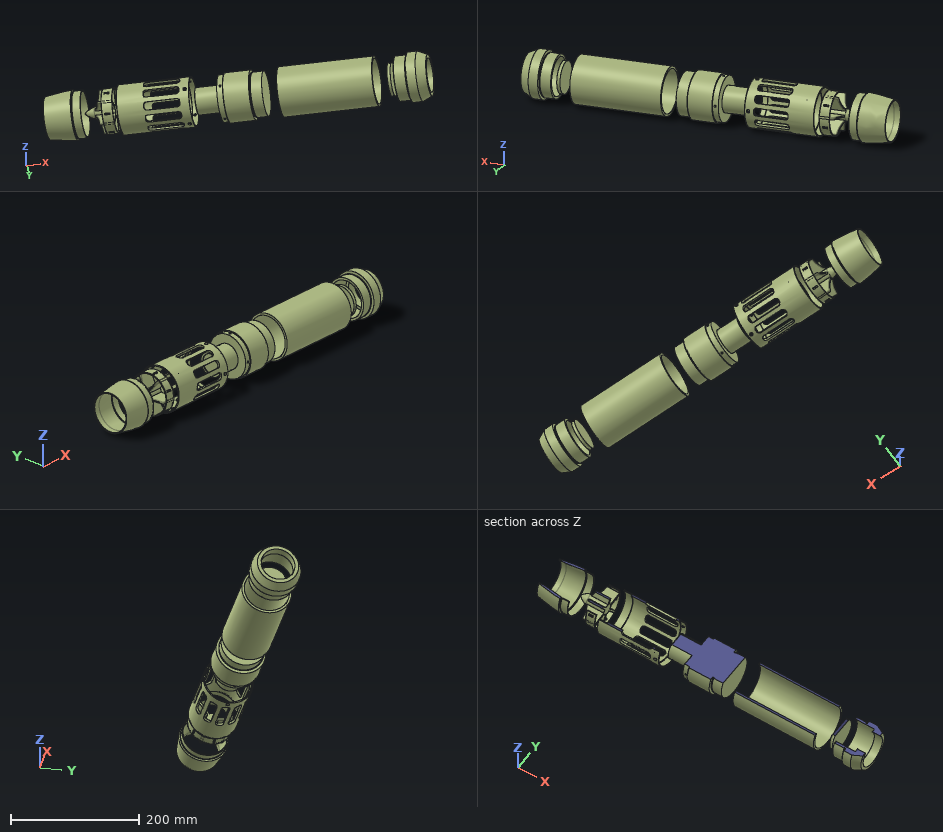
import cadquery as cq
OUTER_DIAMETER = 80.0
OUTER_R = OUTER_DIAMETER / 2
SPIGOT_R = 38.0
PLUG_R = 36.0

RELIEF_WIDTH = 2.0
RELIEF_DEPTH = 1.0

NOSE_MOUTH_R = 34.0
NOSE_MOUTH_BORE_R = 32.0
NOSE_MID_X = 22.0
NOSE_MID_R = 38.0
NOSE_LIP_X = 10.5
NOSE_SHOULDER_X = 44.5
NOSE_END_X = 59.5

STATOR_TIP_X = NOSE_END_X
HUB_R = 10.0
HUB_SHOULDER_X = 76.0
HUB_BULGE_X = 67.5
HUB_BULGE_R = 7.0
RING_START_X = 92.5
RING_END_X = 109.5
RING_BORE_R = 34.0
VANE_COUNT = 6
VANE_THICKNESS = 3.5
VANE_EDGE_R = 1.0
VANE_ANGLE = -6.0
VANE_ROOT_X = 77.5
VANE_SWEEP_X = 81.5
VANE_SWEEP_R = 17.5
VANE_TIP_X = 85.0
VANE_CORNER_R = 2.5
RING_SLOT_ANGLE = 21.5
TOP_ANGLE = 90.0
RING_SLOT_START_X = 97.0
RING_SLOT_LENGTH = 8.0
RING_SLOT_WIDTH = 2.5

INTAKE_START_X = 117.5
INTAKE_LENGTH = 115.0
WINDOW_COUNT = 12
WINDOW_START_X = 160.0
WINDOW_LENGTH = 57.0
WINDOW_WIDTH = 13.0
WINDOW_CORNER_R = 5.0

SCREW_COUNT = 4
SCREW_HOLE_X = 226.5
SCREW_HEAD_R = 2.75
SCREW_OVERCUT = 0.5

MOTOR_START_X = 239.0
STUB_R = 22.0
STUB_RECESS_R = 17.5
STUB_RECESS_DEPTH = 1.0
MOTOR_SPIGOT_X = 277.0
MOTOR_BODY_X = 287.0
MOTOR_PLUG_X = 328.5
MOTOR_END_X = 348.5
PILOT_HOLE_X = 282.5
PILOT_HOLE_R = 1.5
PILOT_HOLE_DEPTH = 6.0

BATTERY_START_X = 373.0
BATTERY_LENGTH = 151.5

DISC_START_X = 546.0
DISC_THICKNESS = 5.5
DISC_R = 27.0
DISC_GROOVE_DEPTH = 1.0

CAP_START_X = 558.0
CAP_COLLAR_X = 578.0
CAP_TAPER_X = 594.0
CAP_END_X = 609.0
CAP_END_R = 33.0
CAP_BORE_R = 31.5
CAP_OUTLET_R = 27.0


def revolve(outline):
    """Spin an outline of (x, radius) points about the X axis."""
    return outline.close().revolve(360, (0, 0, 0), (1, 0, 0))


def cylinder(start_x, end_x, radius):
    return cq.Workplane("YZ", origin=(start_x, 0, 0)).circle(radius).extrude(end_x - start_x)


def around_axis(shape, count, first_angle=0.0):
    """Copies of a shape spaced evenly about the X axis."""
    step = 360 / count
    return [shape.rotate((0, 0, 0), (1, 0, 0), first_angle + i * step) for i in range(count)]


def cut_all(body, tools):
    for tool in tools:
        body = body.cut(tool)
    return body


def tube(start_x, end_x, outer_r, inner_r):
    return cylinder(start_x, end_x, outer_r).cut(cylinder(start_x, end_x, inner_r))


def relief_groove(start_x, radius):
    return tube(start_x, start_x + RELIEF_WIDTH, OUTER_R, radius - RELIEF_DEPTH)


def radial_hole(x, radius, inner_r):
    return cq.Workplane("XY", origin=(x, 0, inner_r)).circle(radius).extrude(OUTER_R)


def make_nose():
    nose = revolve(
        cq.Workplane("XY")
        .moveTo(0, NOSE_MOUTH_BORE_R)
        .lineTo(0, NOSE_MOUTH_R)
        .threePointArc((NOSE_MID_X, NOSE_MID_R), (NOSE_SHOULDER_X, OUTER_R))
        .lineTo(NOSE_SHOULDER_X, SPIGOT_R)
        .lineTo(NOSE_END_X, SPIGOT_R)
        .lineTo(NOSE_END_X, PLUG_R)
        .lineTo(NOSE_SHOULDER_X, PLUG_R)
        .lineTo(NOSE_LIP_X, NOSE_MOUTH_BORE_R)
    )
    return nose.cut(relief_groove(NOSE_SHOULDER_X, SPIGOT_R))


def make_vane():
    """One flat vane in the XZ plane, from the hub axis into the ring wall, with rounded leading edges."""
    vane_r = (RING_BORE_R + PLUG_R) / 2
    return (
        cq.Workplane("XZ")
        .moveTo(VANE_ROOT_X, 0)
        .lineTo(VANE_ROOT_X, HUB_R)
        .threePointArc((VANE_SWEEP_X, VANE_SWEEP_R), (VANE_TIP_X, vane_r - VANE_CORNER_R))
        .radiusArc((VANE_TIP_X + VANE_CORNER_R, vane_r), VANE_CORNER_R)
        .lineTo(RING_END_X, vane_r)
        .lineTo(RING_END_X, 0)
        .close()
        .extrude(VANE_THICKNESS / 2, both=True)
        .edges("%CIRCLE")
        .fillet(VANE_EDGE_R)
    )


def make_stator():
    hub = revolve(
        cq.Workplane("XY")
        .moveTo(STATOR_TIP_X, 0)
        .threePointArc((HUB_BULGE_X, HUB_BULGE_R), (HUB_SHOULDER_X, HUB_R))
        .lineTo(RING_END_X, HUB_R)
        .lineTo(RING_END_X, 0)
    )
    ring = tube(RING_START_X, RING_END_X, PLUG_R, RING_BORE_R)
    slot = cq.Workplane("XY").box(RING_SLOT_LENGTH, RING_SLOT_WIDTH, OUTER_R, centered=(False, True, False))
    slot = slot.translate((RING_SLOT_START_X, 0, HUB_R))
    stator = cut_all(ring, around_axis(slot, VANE_COUNT, TOP_ANGLE - RING_SLOT_ANGLE)).union(hub)
    for vane in around_axis(make_vane(), VANE_COUNT, TOP_ANGLE - VANE_ANGLE):
        stator = stator.union(vane)
    return stator


def countersunk_hole():
    """Conical screw hole along Z, from the screw head at the skin down to the screw core at the bore."""
    return (
        cq.Workplane("XY", origin=(SCREW_HOLE_X, 0, OUTER_R))
        .circle(SCREW_HEAD_R)
        .workplane(offset=SPIGOT_R - OUTER_R - SCREW_OVERCUT)
        .circle(PILOT_HOLE_R)
        .loft()
    )


def make_intake():
    end_x = INTAKE_START_X + INTAKE_LENGTH
    front_socket_end_x = INTAKE_START_X + NOSE_END_X - NOSE_SHOULDER_X
    rear_socket_x = end_x - (MOTOR_BODY_X - MOTOR_SPIGOT_X)
    body = (
        cylinder(INTAKE_START_X, end_x, OUTER_R)
        .cut(cylinder(INTAKE_START_X, front_socket_end_x, SPIGOT_R))
        .cut(cylinder(front_socket_end_x, rear_socket_x, PLUG_R))
        .cut(cylinder(rear_socket_x, end_x, SPIGOT_R))
    )
    window = (
        cq.Workplane("XY")
        .box(WINDOW_LENGTH, WINDOW_WIDTH, OUTER_R, centered=(False, True, False))
        .edges("|Z")
        .fillet(WINDOW_CORNER_R)
        .translate((WINDOW_START_X, 0, STUB_R))
    )
    body = cut_all(body, around_axis(window, WINDOW_COUNT))
    return cut_all(body, around_axis(countersunk_hole(), SCREW_COUNT))


def make_motor_housing():
    housing = (
        cylinder(MOTOR_START_X, MOTOR_END_X, STUB_R)
        .union(cylinder(MOTOR_SPIGOT_X, MOTOR_BODY_X, SPIGOT_R))
        .union(cylinder(MOTOR_BODY_X, MOTOR_PLUG_X, OUTER_R))
        .union(cylinder(MOTOR_PLUG_X, MOTOR_END_X, PLUG_R))
        .cut(cylinder(MOTOR_START_X, MOTOR_START_X + STUB_RECESS_DEPTH, STUB_RECESS_R))
        .cut(relief_groove(MOTOR_PLUG_X, PLUG_R))
    )
    pilot_hole = radial_hole(PILOT_HOLE_X, PILOT_HOLE_R, SPIGOT_R - PILOT_HOLE_DEPTH)
    return cut_all(housing, around_axis(pilot_hole, SCREW_COUNT))


def make_battery_tube():
    end_x = BATTERY_START_X + BATTERY_LENGTH
    return tube(BATTERY_START_X, end_x, OUTER_R, PLUG_R)


def make_disc():
    end_x = DISC_START_X + DISC_THICKNESS
    middle_x = (DISC_START_X + end_x) / 2
    return revolve(
        cq.Workplane("XY")
        .moveTo(DISC_START_X, 0)
        .lineTo(DISC_START_X, DISC_R)
        .threePointArc((middle_x, DISC_R - DISC_GROOVE_DEPTH), (end_x, DISC_R))
        .lineTo(end_x, 0)
    )


def make_end_cap():
    cap = revolve(
        cq.Workplane("XY")
        .moveTo(CAP_START_X, CAP_BORE_R)
        .lineTo(CAP_START_X, PLUG_R)
        .lineTo(CAP_COLLAR_X, PLUG_R)
        .lineTo(CAP_COLLAR_X, OUTER_R)
        .lineTo(CAP_TAPER_X, OUTER_R)
        .lineTo(CAP_END_X, CAP_END_R)
        .lineTo(CAP_END_X, CAP_OUTLET_R)
        .lineTo(CAP_TAPER_X, CAP_OUTLET_R)
        .lineTo(CAP_TAPER_X, CAP_BORE_R)
    )
    return cap.cut(relief_groove(CAP_COLLAR_X - RELIEF_WIDTH, PLUG_R))


nose = make_nose()
stator = make_stator()
intake = make_intake()
motor_housing = make_motor_housing()
battery_tube = make_battery_tube()
disc = make_disc()
end_cap = make_end_cap()

result = cq.Compound.makeCompound([
    nose.val(),
    stator.val(),
    intake.val(),
    motor_housing.val(),
    battery_tube.val(),
    disc.val(),
    end_cap.val(),
])